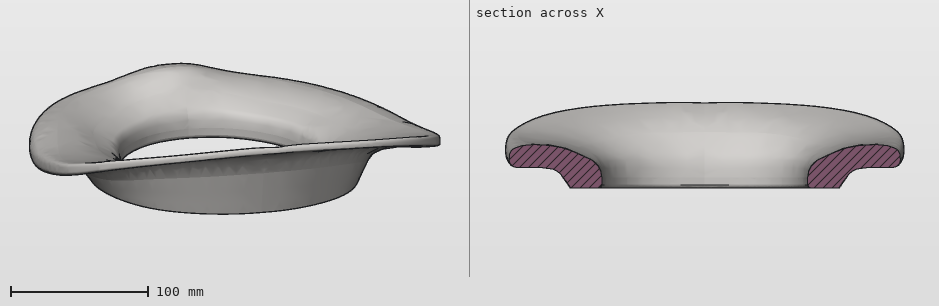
import cadquery as cq
import math

SECTION_ANGLES = [0, 15, 30, 45, 60, 75, 90, 105, 120, 135, 150, 165, 173, 180]

RIM_RADII = [146.8, 151.0, 161.7, 167, 161.7, 149.5, 142.5, 141.0, 144.0, 150.2, 155.3, 156.8, 156.2, 156.2]

CREST_RADII = [141.7, 145.0, 155.5, 160.8, 154.5, 137.7, 125.0, 120.7, 123.8, 132.5, 142.5, 141.7, 133.0, 131.0]
CREST_HEIGHTS = [61.3, 61.3, 59.0, 52.2, 41.5, 34.5, 32.0, 32.0, 32.0, 31.0, 31.0, 36.0, 42.5, 44.0]

LIP_BASE_RADII = [142.5, 146.8, 156.5, 160.2, 153.8, 141.0, 134.5, 133.0, 136.0, 140.8, 147.0, 152.3, 152.3, 152.3]
LIP_BASE_HEIGHTS = [56.7, 56.0, 53.5, 45.2, 32.5, 21.8, 15.2, 12.5, 12.5, 14.3, 18.8, 22.0, 23.0, 23.0]

THROAT_RADII = [106.8, 108.5, 110.5, 108.5, 103, 97, 94, 93.5, 97.7, 102.5, 107.7, 113.0, 111.3, 110.5]
THROAT_HEIGHTS = [40.5, 40.3, 38.5, 34.0, 30.3, 28.0, 26.0, 25.2, 25.0, 25.0, 25.2, 28.8, 32.0, 32.8]

OPENING_RADII = [94, 94.3, 93.5, 88.5, 82.2, 76.8, 75.0, 74.5, 77.7, 82.5, 88, 92.8, 94, 94.5]
FOOT_RADII = [100, 100.7, 101.0, 101.0, 99.2, 97.7, 97.5, 98.0, 100.7, 105.0, 110.0, 114.0, 115.3, 115.5]

KNEE_HEIGHTS = [31.5, 31.0, 28.5, 24.3, 18.0, 12.7, 10.0, 8.8, 8.8, 9.7, 11.8, 14.5, 15.8, 16.0]

LAND_HEIGHT = 7.5
ROUND_RADIUS = 2.5
BACK_SLOPE = 0.4
RIM_LEVEL = 0.4
LIP_SPLIT = 0.65
KNEE_OVERHANG = 7.0

BLOCK_SIZE = 606.7


def section_wire(index, side=1):
    """Closed outline of the ring at one section angle, on the +Y (1) or -Y (-1) side."""
    angle = side * math.radians(SECTION_ANGLES[index])

    def in_plane(outward, upward):
        """Vector in the section plane, from its outward and upward parts."""
        return cq.Vector(outward * math.cos(angle), outward * math.sin(angle), upward)

    crest_height = CREST_HEIGHTS[index]
    lip_base_height = LIP_BASE_HEIGHTS[index]
    rim_height = lip_base_height + RIM_LEVEL * (crest_height - lip_base_height)
    slope = BACK_SLOPE * max(0, math.cos(angle))

    bottom = in_plane(OPENING_RADII[index] + ROUND_RADIUS, 0)
    round_center = in_plane(OPENING_RADII[index] + ROUND_RADIUS, ROUND_RADIUS)
    round_middle = round_center - in_plane(1, 1).normalized() * ROUND_RADIUS
    round_top = in_plane(OPENING_RADII[index], ROUND_RADIUS)
    land = in_plane(OPENING_RADII[index], LAND_HEIGHT)
    throat = in_plane(THROAT_RADII[index], THROAT_HEIGHTS[index])
    crest = in_plane(CREST_RADII[index], crest_height)
    rim = in_plane(RIM_RADII[index], rim_height)
    lip_base = in_plane(LIP_BASE_RADII[index], lip_base_height)
    knee = in_plane(FOOT_RADII[index] + KNEE_OVERHANG, KNEE_HEIGHTS[index])
    foot = in_plane(FOOT_RADII[index], 0)

    along_throat = (crest - land).normalized()
    along_crest = in_plane(1, slope).normalized()
    along_skirt = (foot - knee).normalized()
    down = cq.Vector(0, 0, -1)

    edges = [
        cq.Edge.makeThreePointArc(bottom, round_middle, round_top),
        cq.Edge.makeLine(round_top, land),
        cq.Edge.makeSpline([land, throat], tangents=[-down, along_throat]),
        cq.Edge.makeSpline([throat, crest], tangents=[along_throat, along_crest]),
        cq.Edge.makeSpline(
            [crest, rim, lip_base],
            tangents=[along_crest, down, -along_crest],
            parameters=[0, LIP_SPLIT, 1],
        ),
        cq.Edge.makeSpline([lip_base, knee], tangents=[-along_crest, along_skirt]),
        cq.Edge.makeLine(knee, foot),
        cq.Edge.makeLine(foot, bottom),
    ]
    return cq.Wire.assembleEdges(edges)


last = len(SECTION_ANGLES) - 1
sections = [section_wire(1, side=-1)]
sections += [section_wire(index) for index in range(last + 1)]
sections += [section_wire(last - 1, side=-1)]
long_half = cq.Workplane("XY").newObject([cq.Solid.makeLoft(sections)])

positive_side = cq.Workplane("XY").box(BLOCK_SIZE, BLOCK_SIZE, BLOCK_SIZE, centered=(True, False, True))
half = long_half.intersect(positive_side)
result = half.union(half.mirror("XZ"))